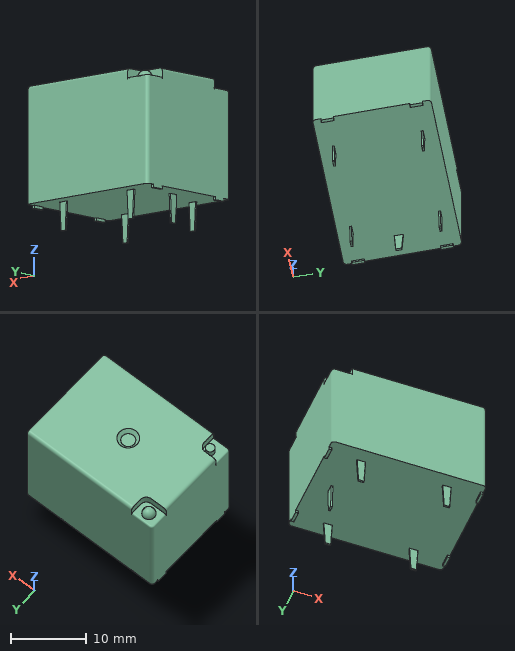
import cadquery as cq

LENGTH = 22.0
WIDTH = 16.0
HEIGHT = 16.0
EDGE_RADIUS = 0.5

NOTCH_DEPTH = 1.27
NOTCH_CORNER_RADIUS = 1.0
NOTCH_RIM_RADIUS = 0.25
FRONT_NOTCH_LENGTH = 2.9
FRONT_NOTCH_WIDTH = 3.0
BACK_NOTCH_LENGTH = 3.65
BACK_NOTCH_WIDTH = 2.85

MARKER_X = -9.1
PEG_Y = -6.05
PEG_DIAMETER = 1.3
PEG_HEIGHT = 0.92
DOME_Y = 6.5
DOME_RADIUS = 0.95

DIMPLE_TOP_DIAMETER = 3.0
DIMPLE_FLOOR_DIAMETER = 2.0
DIMPLE_DEPTH = 0.5

FOOT_HEIGHT = 0.4
FOOT_THICKNESS = 0.4
FOOT_WIDTH = 1.7

PIN_LENGTH = 3.9
PIN_THICKNESS = 0.25
PIN_ROOT_WIDTH = 1.2
PIN_TIP_WIDTH = 0.8
COMMON_PIN_X = -8.1
SIDE_PIN_X = 6.1
SIDE_PIN_Y = 6.0

NOTCH_FLOOR_Z = HEIGHT - NOTCH_DEPTH
OVERLAP = 0.2


def make_housing():
    """Box with rounded vertical and top edges."""
    box = cq.Workplane("XY").box(LENGTH, WIDTH, HEIGHT, centered=(True, True, False))
    return box.edges("|Z or >Z").fillet(EDGE_RADIUS)


def cut_notch(body, length, width, side):
    """Step down the top corner at -X on the given Y side (-1 or +1) and round its rim."""
    corner_x = -LENGTH / 2
    corner_y = side * WIDTH / 2
    inner_x = corner_x + length
    inner_y = corner_y - side * width
    inner_edge_middle = (inner_x, inner_y, NOTCH_FLOOR_Z + NOTCH_DEPTH / 2)
    cutter = (
        cq.Workplane("XY", origin=(0, 0, NOTCH_FLOOR_Z))
        .moveTo(corner_x, corner_y)
        .lineTo(inner_x, corner_y)
        .lineTo(inner_x, inner_y)
        .lineTo(corner_x, inner_y)
        .close()
        .extrude(NOTCH_DEPTH)
        .edges(cq.selectors.NearestToPointSelector(inner_edge_middle))
        .fillet(NOTCH_CORNER_RADIUS)
    )
    body = body.cut(cutter)
    outer_edge_middle = (corner_x, corner_y - side * width / 2, NOTCH_FLOOR_Z)
    rim = body.edges(cq.selectors.NearestToPointSelector(outer_edge_middle))
    return rim.fillet(NOTCH_RIM_RADIUS)


def make_peg():
    """Short round peg on the front notch floor."""
    return (
        cq.Workplane("XY", origin=(MARKER_X, PEG_Y, NOTCH_FLOOR_Z - OVERLAP))
        .circle(PEG_DIAMETER / 2)
        .extrude(PEG_HEIGHT + OVERLAP)
    )


def make_dome():
    """Ball half sunk into the back notch floor."""
    return cq.Workplane("XY", origin=(MARKER_X, DOME_Y, NOTCH_FLOOR_Z)).sphere(DOME_RADIUS)


def make_dimple():
    """Cone frustum that narrows downwards from the top face."""
    return (
        cq.Workplane("XY", origin=(0, 0, HEIGHT))
        .circle(DIMPLE_TOP_DIAMETER / 2)
        .workplane(offset=-DIMPLE_DEPTH)
        .circle(DIMPLE_FLOOR_DIAMETER / 2)
        .loft()
    )


def make_foot(x_side, y_side):
    """Small block under the housing, flush with an end face."""
    height = FOOT_HEIGHT + OVERLAP
    x = x_side * (LENGTH - FOOT_THICKNESS) / 2
    return (
        cq.Workplane("XY")
        .box(FOOT_THICKNESS, FOOT_WIDTH, height, centered=(True, True, False))
        .translate((x, y_side * SIDE_PIN_Y, -FOOT_HEIGHT))
    )


def make_pin(x, y, turn=0):
    """Flat blade tapering to its tip; its width lies along X before turning about Z."""
    outline = [
        (-PIN_ROOT_WIDTH / 2, OVERLAP),
        (-PIN_ROOT_WIDTH / 2, 0),
        (-PIN_TIP_WIDTH / 2, -PIN_LENGTH),
        (PIN_TIP_WIDTH / 2, -PIN_LENGTH),
        (PIN_ROOT_WIDTH / 2, 0),
        (PIN_ROOT_WIDTH / 2, OVERLAP),
    ]
    blade = cq.Workplane("XZ").polyline(outline).close().extrude(PIN_THICKNESS / 2, both=True)
    return blade.rotate((0, 0, 0), (0, 0, 1), turn).translate((x, y, 0))


result = make_housing()
result = cut_notch(result, FRONT_NOTCH_LENGTH, FRONT_NOTCH_WIDTH, -1)
result = cut_notch(result, BACK_NOTCH_LENGTH, BACK_NOTCH_WIDTH, 1)
result = result.union(make_peg()).union(make_dome()).cut(make_dimple())
result = result.union(make_pin(COMMON_PIN_X, 0, turn=90))
for x_side in (-1, 1):
    for y_side in (-1, 1):
        result = result.union(make_foot(x_side, y_side))
        result = result.union(make_pin(x_side * SIDE_PIN_X, y_side * SIDE_PIN_Y))